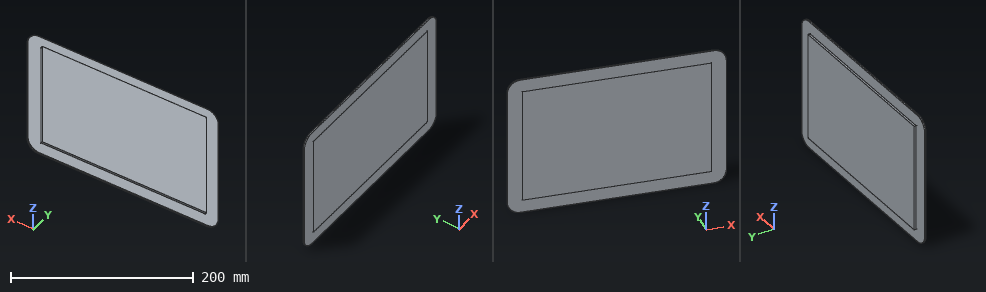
import cadquery as cq

FRAME_WIDTH = 251.5
FRAME_HEIGHT = 165.5
CORNER_RADIUS = 14.5
FRAME_DEPTH = 1.85
WINDOW_WIDTH = 217.3
WINDOW_HEIGHT = 135.5
BACKING_DEPTH = 2.5


def slab(width, height, depth, front_y):
    """Rectangular slab centred in X and Z, reaching from front_y toward +Y."""
    return cq.Workplane("XY").box(width, depth, height).translate((0, front_y + depth / 2, 0))


def make_frame():
    """Rounded plate with a rectangular window cut through it."""
    plate = slab(FRAME_WIDTH, FRAME_HEIGHT, FRAME_DEPTH, 0)
    plate = plate.edges("|Y").fillet(CORNER_RADIUS)
    return plate.cut(slab(WINDOW_WIDTH, WINDOW_HEIGHT, FRAME_DEPTH, 0))


def make_screen():
    """Flat pane that fills the window, flush with both faces of the frame."""
    return slab(WINDOW_WIDTH, WINDOW_HEIGHT, FRAME_DEPTH, 0)


def make_backing():
    """Panel behind the screen, with the same outline as the window."""
    return slab(WINDOW_WIDTH, WINDOW_HEIGHT, BACKING_DEPTH, FRAME_DEPTH)


frame = make_frame()
screen = make_screen()
backing = make_backing()

result = cq.Compound.makeCompound([frame.val(), screen.val(), backing.val()])